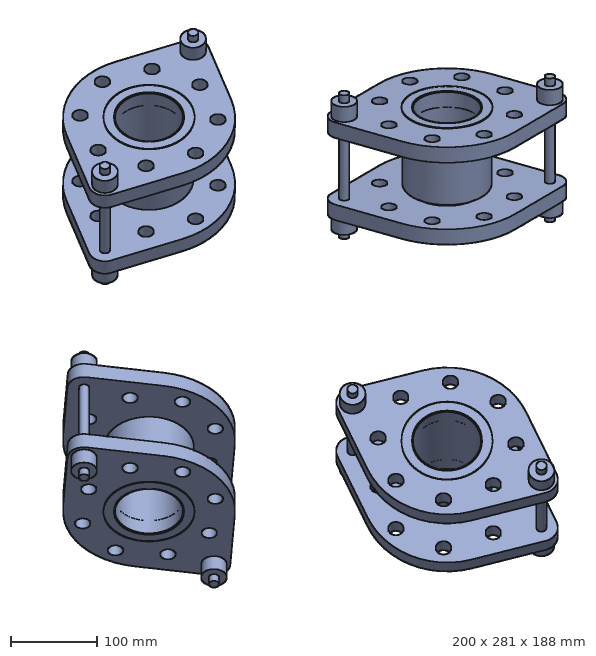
import cadquery as cq
import math

overall_length = 281.0
overall_height = 188.0

flange_radius = 100.0
ear_radius = 19.0
flange_gap = 87.0
flange_thickness = 20.2
bolt_circle_radius = 80.0
bolt_hole_diameter = 18.0
bolt_hole_count = 8

raised_face_diameter = 106.0
raised_face_height = 1.0

drum_diameter = 104.3
drum_height = 75.3
drum_rim_fillet = 3.0
neck_diameter = 81.8
neck_root_fillet = 2.5

bore_diameter = 79.0
bore_mouth_diameter = 81.5

rod_diameter = 12.0
nut_diameter = 30.0
nut_height = 20.0

rod_offset = overall_length / 2 - ear_radius
flange_inner_z = flange_gap / 2
flange_outer_z = flange_inner_z + flange_thickness
raised_face_z = flange_outer_z + raised_face_height


def cylinder(diameter, z_start, z_end):
    """Cylinder on the Z axis between two heights."""
    return cq.Workplane("XY").workplane(offset=z_start).circle(diameter / 2).extrude(z_end - z_start)


def flange_plate():
    """Upper plate: a disc drawn out along Y into two rounded ears, with bolt holes."""
    tangent_sine = (flange_radius - ear_radius) / rod_offset
    tangent_cosine = math.sqrt(1 - tangent_sine**2)
    main_x = flange_radius * tangent_cosine
    main_y = flange_radius * tangent_sine
    ear_x = ear_radius * tangent_cosine
    ear_y = rod_offset + ear_radius * tangent_sine
    ear_tip_y = overall_length / 2

    plate = (
        cq.Workplane("XY")
        .workplane(offset=flange_inner_z)
        .moveTo(main_x, -main_y)
        .threePointArc((flange_radius, 0), (main_x, main_y))
        .lineTo(ear_x, ear_y)
        .threePointArc((0, ear_tip_y), (-ear_x, ear_y))
        .lineTo(-main_x, main_y)
        .threePointArc((-flange_radius, 0), (-main_x, -main_y))
        .lineTo(-ear_x, -ear_y)
        .threePointArc((0, -ear_tip_y), (ear_x, -ear_y))
        .close()
        .extrude(flange_thickness)
    )
    first_hole_angle = 180 / bolt_hole_count
    bolt_holes = (
        cq.Workplane("XY")
        .workplane(offset=flange_inner_z)
        .polarArray(bolt_circle_radius, first_hole_angle, 360, bolt_hole_count)
        .circle(bolt_hole_diameter / 2)
        .extrude(flange_thickness)
    )
    return plate.cut(bolt_holes)


def drum_and_necks():
    """Drum with rounded rims, and a neck with a filleted root from each end to its flange."""
    drum_radius = drum_diameter / 2
    neck_radius = neck_diameter / 2
    drum_top_z = drum_height / 2
    rim_z = drum_top_z - drum_rim_fillet
    rim_radius = drum_radius - drum_rim_fillet
    root_z = drum_top_z + neck_root_fillet
    root_radius = neck_radius + neck_root_fillet
    return (
        cq.Workplane("XZ")
        .moveTo(0, -flange_inner_z)
        .lineTo(neck_radius, -flange_inner_z)
        .lineTo(neck_radius, -root_z)
        .radiusArc((root_radius, -drum_top_z), neck_root_fillet)
        .lineTo(rim_radius, -drum_top_z)
        .radiusArc((drum_radius, -rim_z), -drum_rim_fillet)
        .lineTo(drum_radius, rim_z)
        .radiusArc((rim_radius, drum_top_z), -drum_rim_fillet)
        .lineTo(root_radius, drum_top_z)
        .radiusArc((neck_radius, root_z), neck_root_fillet)
        .lineTo(neck_radius, flange_inner_z)
        .lineTo(0, flange_inner_z)
        .close()
        .revolve(360, (0, 0), (0, 1))
    )


def upper_flange():
    """Upper plate with its raised face, and a round nut on each ear."""
    flange = flange_plate().union(cylinder(raised_face_diameter, flange_inner_z, raised_face_z))
    nut = cylinder(nut_diameter, flange_outer_z, flange_outer_z + nut_height)
    for nut_y in (-rod_offset, rod_offset):
        flange = flange.union(nut.translate((0, nut_y, 0)))
    return flange


flange = upper_flange()
result = drum_and_necks().union(flange).union(flange.mirror("XY"))

tie_rod = cylinder(rod_diameter, -overall_height / 2, overall_height / 2)
for rod_y in (-rod_offset, rod_offset):
    result = result.union(tie_rod.translate((0, rod_y, 0)))

bore_mouth = cylinder(bore_mouth_diameter, flange_outer_z, raised_face_z)
result = result.cut(cylinder(bore_diameter, -raised_face_z, raised_face_z))
result = result.cut(bore_mouth).cut(bore_mouth.mirror("XY"))